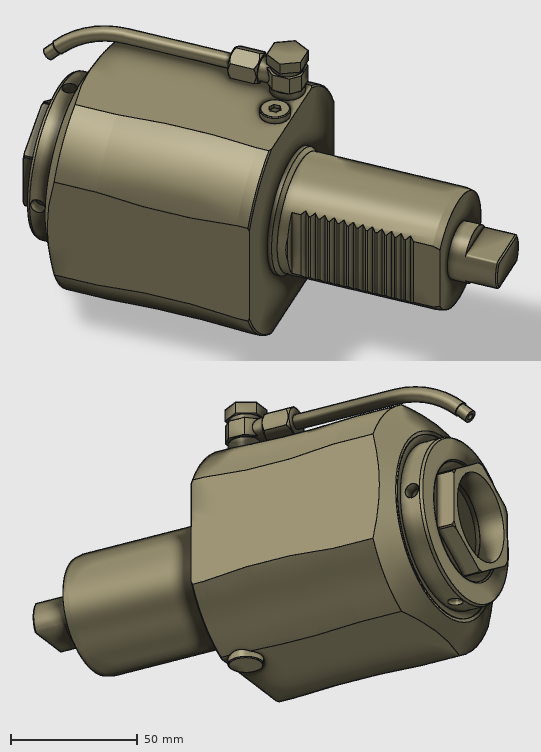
import cadquery as cq
import math


overall_length = 202.5
tang_end_x = 92.0
nozzle_tip_x = tang_end_x - overall_length

housing_width = 91.0
half_width = housing_width / 2
housing_length = 89.5
housing_radius = 51.0
waist_radius = 50.2
waist_front_x = -65.0
waist_rear_x = -5.3
nose_radius = 38.9
nose_cone_angle = 62.0
rear_edge_chamfer = 0.6
nose_recess_radius = 37.5
nose_recess_depth = 0.5

collar_radius = 34.5
collar_length = 9.5
collar_chamfer_axial = 1.2
collar_chamfer_radial = 0.6
collar_recess_radius = 24.5
collar_recess_chamfer = 0.6
collar_recess_depth = 0.8
spanner_hole_count = 4
spanner_hole_diameter = 6.0
spanner_hole_depth = 5.0
spanner_hole_point_angle = 118.0
spanner_hole_x = -94.3

nut_across_flats = 42.1
nut_corner_radius = 24.0
nut_corner_chamfer = 0.6
nut_height = 6.9
nut_bore_radius = 18.5
nut_bore_depth = 11.0
nut_floor_radius = 18.2
nut_floor_depth = 12.8

shank_radius = 25.0
shank_length = 70.9
shank_chamfer_axial = 3.0
shank_chamfer_radial = 0.6
shoulder_radius = 26.3
shoulder_land = 1.8
shoulder_length = 3.6

flat_offset = 19.8
flat_start_x = 7.9
flat_edge_offset = 24.3
groove_count = 12
groove_pitch = 4.0
groove_width = 3.2
groove_depth = 1.2
first_groove_x = 13.4

neck_radius = 12.0
neck_length = 7.0
tang_thickness = 13.4
tang_edge_fillet = 1.5
tang_end_chamfer = 0.6

fitting_x = -8.5
fitting_y = 17.0
fitting_base_radius = 7.0
fitting_base_top = 49.4
fitting_base_chamfer = 0.6
block_top = 56.9
block_width = 14.5
block_corner_chamfer = 3.6
bolt_neck_radius = 6.7
bolt_head_bottom = 59.1
bolt_head_top = 64.0
bolt_across_flats = 14.4

pipe_z = 53.0
pipe_radius = 3.0
pipe_bend_radius = 39.5
pipe_bend_angle = 45.0
pipe_tilt_angle = 15.0
nozzle_length = 5.5
nozzle_radius = 2.6
nozzle_hole_radius = 1.5
nozzle_hole_depth = 4.0
outlet_radius = 5.0
gland_across_flats = 12.3
gland_front_x = -31.5
gland_rear_x = -19.2
gland_chamfer = 1.2

screw_x = -7.0
screw_radius = 6.0
screw_height = 3.0
screw_socket_across_flats = 4.5
screw_socket_depth = 1.6
plug_radius = 7.0
plug_height = 2.8
screw_chamfer = 0.5

overlap = 2.0


def rod(x_start, x_end, radius, y=0, z=0):
    """Cylinder parallel to X."""
    return cq.Workplane("YZ", origin=(x_start, y, z)).circle(radius).extrude(x_end - x_start)


def post(z_start, z_end, radius, x, y):
    """Cylinder parallel to Z."""
    return cq.Workplane("XY", origin=(x, y, z_start)).circle(radius).extrude(z_end - z_start)


def corner_diameter(across_flats):
    """Corner-to-corner size of a hexagon."""
    return across_flats / math.cos(math.pi / 6)


def hex_bar(x_start, x_end, across_flats, y=0, z=0):
    """Hexagonal prism parallel to X with two corners pointing along Z."""
    return (
        cq.Workplane("YZ", origin=(x_start, y, z))
        .transformed(rotate=(0, 0, 90))
        .polygon(6, corner_diameter(across_flats))
        .extrude(x_end - x_start)
    )


def chamfered_hex_bar(x_start, x_end, across_flats, corner_radius, chamfer, faces, y=0, z=0):
    """Hexagonal bar whose corners are turned to a radius and chamfered at the chosen ends."""
    turned = rod(x_start, x_end, corner_radius, y, z).faces(faces).chamfer(chamfer)
    return hex_bar(x_start, x_end, across_flats, y, z).intersect(turned)


def hex_post(z_start, z_end, across_flats, turn, x, y):
    """Hexagonal prism parallel to Z, turned about its own axis."""
    return (
        cq.Workplane("XY", origin=(x, y, z_start))
        .transformed(rotate=(0, 0, turn))
        .polygon(6, corner_diameter(across_flats))
        .extrude(z_end - z_start)
    )


def make_housing():
    cone_length = (housing_radius - nose_radius) / math.tan(math.radians(nose_cone_angle))
    turned = (
        cq.Workplane("XY")
        .moveTo(-housing_length, 0)
        .lineTo(-housing_length, nose_radius)
        .lineTo(cone_length - housing_length, housing_radius)
        .lineTo(waist_front_x, housing_radius)
        .threePointArc(((waist_front_x + waist_rear_x) / 2, waist_radius), (waist_rear_x, housing_radius))
        .lineTo(-rear_edge_chamfer, housing_radius)
        .lineTo(0, housing_radius - rear_edge_chamfer)
        .lineTo(0, 0)
        .close()
        .revolve(360, (0, 0, 0), (1, 0, 0))
    )
    square = cq.Workplane("XY").box(2 * housing_length, housing_width, housing_width)
    recess = rod(-housing_length, -housing_length + nose_recess_depth, nose_recess_radius)
    return turned.intersect(square).cut(recess)


def make_collar():
    front_x = -housing_length - collar_length
    collar = (
        cq.Workplane("XY")
        .moveTo(front_x + collar_recess_depth, 0)
        .lineTo(front_x + collar_recess_depth, collar_recess_radius)
        .lineTo(front_x + collar_recess_chamfer, collar_recess_radius)
        .lineTo(front_x, collar_recess_radius + collar_recess_chamfer)
        .lineTo(front_x, collar_radius - collar_chamfer_radial)
        .lineTo(front_x + collar_chamfer_axial, collar_radius)
        .lineTo(-housing_length + overlap, collar_radius)
        .lineTo(-housing_length + overlap, 0)
        .close()
        .revolve(360, (0, 0, 0), (1, 0, 0))
    )
    hole_radius = spanner_hole_diameter / 2
    hole_floor = collar_radius - spanner_hole_depth
    point_depth = hole_radius / math.tan(math.radians(spanner_hole_point_angle / 2))
    hole = (
        cq.Workplane("XZ", origin=(spanner_hole_x, 0, 0))
        .polyline([
            (0, hole_floor - point_depth),
            (hole_radius, hole_floor),
            (hole_radius, collar_radius + overlap),
            (0, collar_radius + overlap),
        ])
        .close()
        .revolve(360, (0, 0, 0), (0, 1, 0))
    )
    for index in range(spanner_hole_count):
        collar = collar.cut(hole.rotate((0, 0, 0), (1, 0, 0), index * 360 / spanner_hole_count))
    return collar


def add_nut(body):
    seat_x = -housing_length - collar_length
    front_x = seat_x - nut_height
    nut = chamfered_hex_bar(front_x, seat_x + overlap, nut_across_flats,
                            nut_corner_radius, nut_corner_chamfer, "<X")
    bore = rod(front_x, front_x + nut_bore_depth, nut_bore_radius)
    bore = bore.union(rod(front_x, front_x + nut_floor_depth, nut_floor_radius))
    return body.union(nut).cut(bore)


def make_shank():
    shank = (
        cq.Workplane("XY")
        .moveTo(-overlap, 0)
        .lineTo(-overlap, shoulder_radius)
        .lineTo(shoulder_land, shoulder_radius)
        .lineTo(shoulder_length, shank_radius)
        .lineTo(shank_length - shank_chamfer_axial, shank_radius)
        .lineTo(shank_length, shank_radius - shank_chamfer_radial)
        .lineTo(shank_length, 0)
        .close()
        .revolve(360, (0, 0, 0), (1, 0, 0))
    )
    bevel = shoulder_radius - flat_edge_offset
    flat_cut = (
        cq.Workplane("XY")
        .polyline([
            (flat_start_x, -flat_offset),
            (flat_start_x, -flat_edge_offset),
            (flat_start_x - bevel, -shoulder_radius),
            (shank_length, -shoulder_radius),
            (shank_length, -flat_offset),
        ])
        .close()
        .extrude(shank_radius, both=True)
    )
    shank = shank.cut(flat_cut)
    for index in range(groove_count):
        groove_x = first_groove_x + index * groove_pitch
        groove = (
            cq.Workplane("XY")
            .polyline([
                (groove_x - groove_width / 2, -flat_offset),
                (groove_x, groove_depth - flat_offset),
                (groove_x + groove_width / 2, -flat_offset),
                (groove_x + groove_width / 2, -shoulder_radius),
                (groove_x - groove_width / 2, -shoulder_radius),
            ])
            .close()
            .extrude(shank_radius, both=True)
        )
        shank = shank.cut(groove)
    return shank


def make_drive_tang():
    neck_end_x = shank_length + neck_length
    neck = rod(shank_length - overlap, neck_end_x, neck_radius)
    slab = cq.Workplane("XY").box(2 * tang_end_x, 2 * neck_radius, tang_thickness)
    tang = rod(neck_end_x - overlap, tang_end_x, neck_radius).intersect(slab)
    tang = tang.edges("|X and (>Z or <Z)").fillet(tang_edge_fillet)
    tang = tang.faces(">X").chamfer(tang_end_chamfer)
    return neck.union(tang)


def make_fitting():
    base = post(half_width - overlap, fitting_base_top, fitting_base_radius, fitting_x, fitting_y)
    base = base.faces(">Z").chamfer(fitting_base_chamfer)
    block = (
        cq.Workplane("XY", origin=(fitting_x, fitting_y, fitting_base_top))
        .rect(block_width, block_width)
        .extrude(block_top - fitting_base_top)
        .edges("|Z")
        .chamfer(block_corner_chamfer)
    )
    neck = post(block_top, bolt_head_bottom, bolt_neck_radius, fitting_x, fitting_y)
    head = hex_post(bolt_head_bottom, bolt_head_top, bolt_across_flats, 90, fitting_x, fitting_y)
    outlet = rod(gland_rear_x, fitting_x, outlet_radius, fitting_y, pipe_z)
    gland_radius = corner_diameter(gland_across_flats) / 2
    gland = chamfered_hex_bar(gland_front_x, gland_rear_x, gland_across_flats,
                              gland_radius, gland_chamfer, "<X or >X", fitting_y, pipe_z)
    return base.union(block).union(neck).union(head).union(outlet).union(gland)


def make_pipe():
    angle = math.radians(pipe_bend_angle)
    bend_run = pipe_bend_radius * math.sin(angle)
    bend_drop = pipe_bend_radius * (1 - math.cos(angle))
    bend_start_x = nozzle_tip_x + nozzle_radius * math.sin(angle) + nozzle_length * math.cos(angle) + bend_run
    bend_end = (bend_start_x - bend_run, fitting_y, pipe_z - bend_drop)
    flow = cq.Vector(-math.cos(angle), 0, -math.sin(angle))
    nozzle_end = cq.Vector(*bend_end) + flow * nozzle_length

    straight = rod(bend_start_x, gland_front_x + overlap, pipe_radius, fitting_y, pipe_z)
    bend = (
        cq.Workplane("YZ", origin=(bend_start_x, fitting_y, pipe_z))
        .circle(pipe_radius)
        .revolve(pipe_bend_angle, (0, -pipe_bend_radius, 0), (-1, -pipe_bend_radius, 0))
    )
    nozzle = (
        cq.Workplane(cq.Plane(bend_end, (0, 1, 0), flow))
        .circle(nozzle_radius)
        .extrude(nozzle_length)
    )
    nozzle_hole = (
        cq.Workplane(cq.Plane(nozzle_end, (0, 1, 0), flow))
        .circle(nozzle_hole_radius)
        .extrude(-nozzle_hole_depth)
    )
    pipe = straight.union(bend).union(nozzle).cut(nozzle_hole)
    return pipe.rotate((0, fitting_y, pipe_z), (1, fitting_y, pipe_z), -pipe_tilt_angle)


def make_socket_screw():
    top = half_width + screw_height
    head = post(half_width - overlap, top, screw_radius, screw_x, 0).faces(">Z").chamfer(screw_chamfer)
    return head.cut(hex_post(top - screw_socket_depth, top, screw_socket_across_flats, 0, screw_x, 0))


def make_bottom_plug():
    plug = post(-half_width - plug_height, -half_width + overlap, plug_radius, fitting_x, fitting_y)
    return plug.faces("<Z").chamfer(screw_chamfer)


result = make_housing().union(make_collar())
result = add_nut(result)
for piece in (
    make_shank(),
    make_drive_tang(),
    make_fitting(),
    make_pipe(),
    make_socket_screw(),
    make_bottom_plug(),
):
    result = result.union(piece)